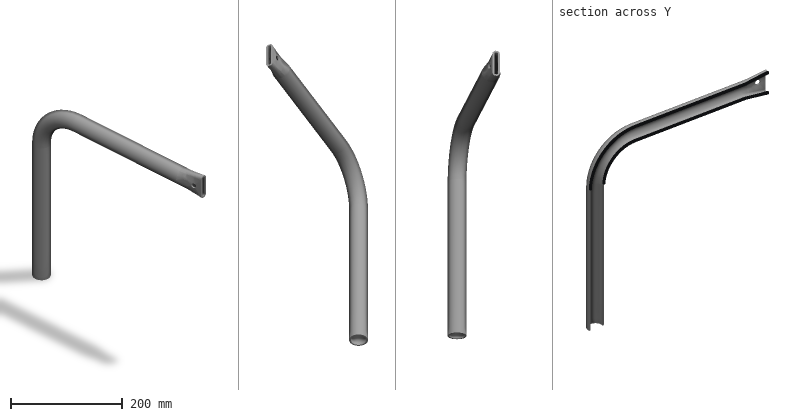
import cadquery as cq
import math

tube_diameter = 33.7
bore_diameter = 27.9
wall = (tube_diameter - bore_diameter) / 2

axis_height = 380
axis_reach = 380
bend_radius = 85

flat_length = 50
flat_height = 48
flat_thickness = 13
flat_corner_radius = 5.5

corner_start_angle = 4.5
corner_end_angle = 28

hole_diameter = 10
hole_end_distance = 15

flat_start = axis_reach - flat_length


def bent_rod(diameter):
    """Round bar following the centreline from the foot to the start of the flattened end."""
    bend_start = axis_height - bend_radius
    bend_offset = bend_radius * (1 - math.sqrt(0.5))
    path = (
        cq.Workplane("XZ")
        .lineTo(0, bend_start)
        .threePointArc((bend_offset, axis_height - bend_offset), (bend_radius, axis_height))
        .lineTo(flat_start, axis_height)
    )
    return cq.Workplane("XY").circle(diameter / 2).sweep(path)


def on_circle(radius, angle):
    """Point (y, z) on a circle, at an angle in degrees clockwise from the top."""
    return radius * math.sin(math.radians(angle)), radius * math.cos(math.radians(angle))


def round_section(diameter):
    """Circle across the arm, split into eight arcs to match the sides of the flattened section."""
    radius = diameter / 2
    right_half = [
        corner_start_angle,
        corner_end_angle,
        180 - corner_end_angle,
        180 - corner_start_angle,
    ]
    splits = right_half + [angle + 180 for angle in right_half]
    section = cq.Workplane("YZ", origin=(flat_start, 0, axis_height))
    section = section.moveTo(*on_circle(radius, splits[0]))
    for start, end in zip(splits, splits[1:] + [splits[0] + 360]):
        section = section.threePointArc(on_circle(radius, (start + end) / 2), on_circle(radius, end))
    return section.close().val()


def flattened_section(inset):
    """Rounded rectangle across the end of the arm, shrunk by an inset on every side."""
    radius = flat_corner_radius - inset
    side_y = flat_thickness / 2 - inset
    top_z = flat_height / 2 - inset
    corner_y = side_y - radius
    corner_z = top_z - radius
    round_y, round_z = on_circle(radius, 45)
    return (
        cq.Workplane("YZ", origin=(axis_reach, 0, axis_height))
        .moveTo(corner_y, top_z)
        .threePointArc((corner_y + round_y, corner_z + round_z), (side_y, corner_z))
        .lineTo(side_y, -corner_z)
        .threePointArc((corner_y + round_y, -corner_z - round_z), (corner_y, -top_z))
        .lineTo(-corner_y, -top_z)
        .threePointArc((-corner_y - round_y, -corner_z - round_z), (-side_y, -corner_z))
        .lineTo(-side_y, corner_z)
        .threePointArc((-corner_y - round_y, corner_z + round_z), (-corner_y, top_z))
        .close()
        .val()
    )


def flattening_rod(inset):
    """Straight-ruled transition from the round section to the flattened section."""
    sections = [round_section(tube_diameter - 2 * inset), flattened_section(inset)]
    return cq.Workplane(cq.Solid.makeLoft(sections, True))


def tube_body(inset):
    """Whole tube as a solid rod, shrunk by an inset from the outer surface."""
    return bent_rod(tube_diameter - 2 * inset).union(flattening_rod(inset))


def cross_hole():
    """Pin hole along Y through both walls of the flattened end."""
    return (
        cq.Workplane("XZ", origin=(axis_reach - hole_end_distance, 0, axis_height))
        .circle(hole_diameter / 2)
        .extrude(tube_diameter, both=True)
    )


result = tube_body(0).cut(tube_body(wall)).cut(cross_hole())